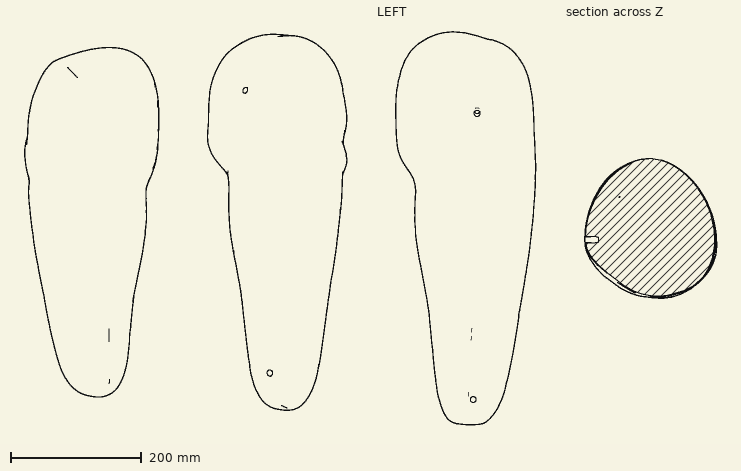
import cadquery as cq
import math

FOOT_TIP = (21.0, -4.0, 0.0)
CROWN = (-1.0, -40.0, 589.5)

LEG_SECTIONS = [
    (2, 2, 44, -3, -27, 14),
    (9, -9, 55, -3, -37, 27),
    (23, -21, 65, -4, -48, 35),
    (45, -30, 73, -5, -58, 42),
    (80, -36, 77.5, -6, -67, 47),
    (130, -42, 80, -9, -76.5, 52),
    (185, -49, 86, -11, -85, 58),
    (245, -56, 93.5, -13, -95, 69),
    (300, -62, 98, -17, -102, 77),
    (345, -65.5, 100.5, -21, -106, 77),
    (375, -66, 101.3, -24, -107.4, 79),
]
NECK_SECTIONS = [
    (395, -70, 101.8, -27, -107.9, 91),
    (411, -88, 101.8, -25, -107.2, 100),
    (430, -99, 101.2, -21, -106.5, 104.7),
]
HEAD_SECTIONS = [
    (-18, (-100.6, 460), (100.3, 460), (-105, 458), (106.5, 465)),
    (-18, (-98, 495), (97, 492), (-103, 495), (106, 505)),
    (-19, (-88, 530), (89, 530), (-97, 529), (99, 542)),
    (-24, (-72, 556), (74, 558), (-88, 552), (84, 572)),
    (-31, (-51, 573), (52, 577), (-74, 571), (57, 593)),
    (-36, (-27, 583), (27, 586), (-58, 583), (20, 602.2)),
    (-39, (-8, 588.5), (8, 589), (-45, 588.5), (-18, 596)),
]

LEG_FULLNESS = (0.70, 0.74, 0.64, 0.70)
NECK_FULLNESS = (0.69, 0.72, 0.69, 0.67)
HEAD_FULLNESS = (0.685, 0.695, 0.745, 0.63)

SOCKET_DIAMETER = 9.0
SOCKET_DEPTH = 20.0
SOCKET_OVERRUN = 10.0
HEAD_SOCKET = (-100.0, -18.0, 477.0, math.radians(12))
FOOT_SOCKET = (-27.0, -12.0, 39.0, 0.0)


def half_section(right, apex, left, right_fullness, left_fullness):
    """Spline from the right seam over the apex to the left seam."""
    middle = (right + left) * 0.5
    right_diagonal = middle + (right - middle + apex - middle) * right_fullness
    left_diagonal = middle + (left - middle + apex - middle) * left_fullness
    outward = (apex - middle) * math.pi
    return cq.Edge.makeSpline(
        [right, right_diagonal, apex, left_diagonal, left],
        tangents=[outward, -outward],
        parameters=[0, 0.25, 0.5, 0.75, 1],
        scale=False,
    )


def section_wire(seam_y, left, right, front, back, fullness):
    """Closed section; left and right are (X, Z), front and back are (Y, Z)."""
    back_right, back_left, front_right, front_left = fullness
    middle_x = (left[0] + right[0]) / 2
    left_point = cq.Vector(left[0], seam_y, left[1])
    right_point = cq.Vector(right[0], seam_y, right[1])
    front_point = cq.Vector(middle_x, *front)
    back_point = cq.Vector(middle_x, *back)
    back_edge = half_section(right_point, back_point, left_point, back_right, back_left)
    front_edge = half_section(right_point, front_point, left_point, front_right, front_left)
    return cq.Wire.assembleEdges([back_edge, front_edge])


def level_section_wire(section, fullness):
    z, left, right, seam_y, front, back = section
    return section_wire(seam_y, (left, z), (right, z), (front, z), (back, z), fullness)


def make_body():
    """Loft from the foot tip through every section to the crown."""
    leg = [level_section_wire(section, LEG_FULLNESS) for section in LEG_SECTIONS]
    neck = [level_section_wire(section, NECK_FULLNESS) for section in NECK_SECTIONS]
    head = [section_wire(*section, HEAD_FULLNESS) for section in HEAD_SECTIONS]
    foot_tip = cq.Vertex.makeVertex(*FOOT_TIP)
    crown = cq.Vertex.makeVertex(*CROWN)
    sections = [foot_tip, *leg, *neck, *head, crown]
    skin = cq.occ_impl.shapes.loft(
        sections, cap=True, continuity="C1", parametrization="centripetal", compat=False
    )
    return cq.Workplane(skin)


def make_socket(skin_x, y, z, rise_angle):
    """Cutter for a blind round socket entering the left side toward +X."""
    direction = cq.Vector(math.cos(rise_angle), 0, math.sin(rise_angle))
    mouth = cq.Vector(skin_x, y, z)
    return cq.Solid.makeCylinder(
        SOCKET_DIAMETER / 2,
        SOCKET_DEPTH + SOCKET_OVERRUN,
        mouth - direction * SOCKET_OVERRUN,
        direction,
    )


result = make_body().cut(make_socket(*HEAD_SOCKET)).cut(make_socket(*FOOT_SOCKET))